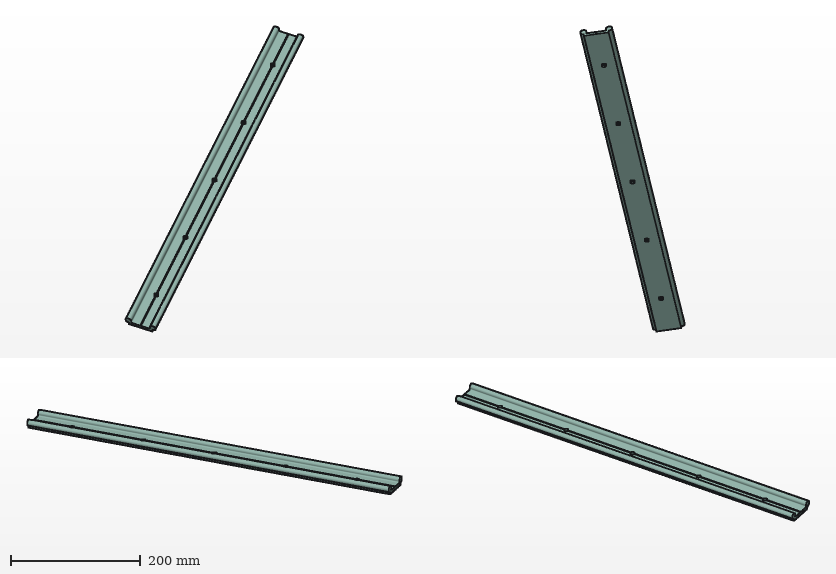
import cadquery as cq

length = 610.0
overall_width = 50.0
overall_height = 14.0
rod_diameter = 10.0
plate_width = 39.0
plate_thickness = 5.5
root_fillet = 2.0
hole_diameter = 7.0
hole_count = 5
hole_pitch = 120.0
groove_width = 1.0
groove_depth = 0.3

rod_offset = (overall_width - rod_diameter) / 2
rod_height = overall_height - rod_diameter / 2


def make_plate():
    """Flat web between the rods, resting on Z = 0."""
    return cq.Workplane("XY").box(plate_width, length, plate_thickness, centered=(True, True, False))


def make_rods():
    """Round guide rails along both long edges."""
    return (
        cq.Workplane("XZ")
        .pushPoints([(-rod_offset, rod_height), (rod_offset, rod_height)])
        .circle(rod_diameter / 2)
        .extrude(length / 2, both=True)
    )


def make_groove():
    """Shallow centring groove along the top of the web."""
    return (
        cq.Workplane("XY", origin=(0, 0, plate_thickness - groove_depth))
        .rect(groove_width, length)
        .extrude(groove_depth)
    )


def make_holes():
    """Row of mounting holes through the web."""
    return (
        cq.Workplane("XY")
        .rarray(6, hole_pitch, 1, hole_count)
        .circle(hole_diameter / 2)
        .extrude(plate_thickness)
    )


def make_rail():
    """Web and rods joined, with the inner roots of the rods filleted."""
    rail = make_plate().union(make_rods())
    return rail.edges(
        cq.selectors.BoxSelector(
            (-rod_offset, -length / 4, plate_thickness - root_fillet),
            (rod_offset, length / 4, plate_thickness + root_fillet),
        )
    ).fillet(root_fillet)


result = make_rail().cut(make_groove()).cut(make_holes())